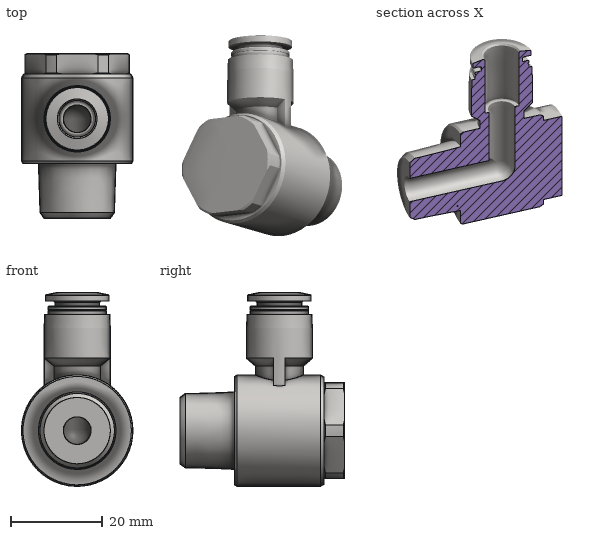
import cadquery as cq


barrel_diameter = 24.4
barrel_length = 19.6
barrel_radius = barrel_diameter / 2
front_y = -barrel_length / 2
back_y = barrel_length / 2
front_bevel_length = 0.55
front_bevel_depth = 0.35
back_bevel_length = 0.85
back_bevel_depth = 0.5

spigot_length = 11.95
spigot_root_diameter = 16.95
spigot_end_diameter = 16.3
spigot_tip_diameter = 14.5
spigot_bevel_length = 1.25

hex_length = 4.45
hex_across_flats = 21.0
hex_turn = 30
hex_corner_diameter = 22.9
hex_bevel_length = 0.25
hex_bevel_depth = 0.45

total_height = 42.4
port_top_z = total_height - barrel_radius
port_diameter = 14.5
port_shoulder_diameter = 14.25
neck_diameter = 10.55
neck_top_z = 14.15
cylinder_bottom_z = 15.85
cylinder_top_z = 22.35
shoulder_z = 25.45

insert_diameter = 12.8
insert_top_z = 27.25
insert_bevel = 0.2
groove_top_z = 26.5
groove_bottom_z = 26.37

collar_neck_diameter = 9.8
collar_diameter = 13.9
collar_bottom_z = 28.32
crown_height = 0.5
collar_rim_z = port_top_z - crown_height
collar_face_diameter = 8.7
collar_bevel = 0.25
rim_bevel = 0.13

rib_width = 2.55

bore_diameter = 6.0
tube_diameter = 8.0
tube_seat_z = cylinder_bottom_z
mouth_diameter = 8.65
mouth_depth = 0.35


def cylinder_z(diameter, bottom, top):
    return cq.Workplane("XY").workplane(offset=bottom).circle(diameter / 2).extrude(top - bottom)


def turned_about_y(profile):
    """Revolve (radius, y) points about the Y axis."""
    return cq.Workplane("XY").polyline(profile).close().revolve(360, (0, 0, 0), (0, 1, 0))


def make_barrel():
    tip_y = front_y - spigot_length
    return turned_about_y([
        (0, tip_y),
        (spigot_tip_diameter / 2, tip_y),
        (spigot_end_diameter / 2, tip_y + spigot_bevel_length),
        (spigot_root_diameter / 2, front_y),
        (barrel_radius - front_bevel_depth, front_y),
        (barrel_radius, front_y + front_bevel_length),
        (barrel_radius, back_y - back_bevel_length),
        (barrel_radius - back_bevel_depth, back_y),
        (0, back_y),
    ])


def make_hexagon():
    end_y = back_y + hex_length
    corner_radius = hex_corner_diameter / 2
    prism = (
        cq.Workplane("XZ", origin=(0, end_y, 0))
        .transformed(rotate=(0, 0, hex_turn))
        .polygon(6, hex_across_flats, circumscribed=True)
        .extrude(hex_length)
    )
    envelope = turned_about_y([
        (0, back_y),
        (corner_radius - hex_bevel_depth, back_y),
        (corner_radius, back_y + hex_bevel_length),
        (corner_radius, end_y - hex_bevel_length),
        (corner_radius - hex_bevel_depth, end_y),
        (0, end_y),
    ])
    return prism.intersect(envelope)


def make_port():
    insert_radius = insert_diameter / 2
    collar_radius = collar_diameter / 2
    collar_neck_radius = collar_neck_diameter / 2
    profile = [
        (0, 0),
        (neck_diameter / 2, 0),
        (neck_diameter / 2, neck_top_z),
        (port_diameter / 2, cylinder_bottom_z),
        (port_diameter / 2, cylinder_top_z),
        (port_shoulder_diameter / 2, shoulder_z),
        (insert_radius, shoulder_z),
        (insert_radius, groove_bottom_z - insert_bevel),
        (insert_radius - insert_bevel, groove_bottom_z),
        (insert_radius - insert_bevel, groove_top_z),
        (insert_radius, groove_top_z),
        (insert_radius, insert_top_z - insert_bevel),
        (insert_radius - insert_bevel, insert_top_z),
        (collar_neck_radius, insert_top_z),
        (collar_neck_radius, collar_bottom_z - collar_bevel),
        (collar_neck_radius + collar_bevel, collar_bottom_z),
        (collar_radius, collar_bottom_z),
        (collar_radius, collar_rim_z - rim_bevel),
        (collar_radius - rim_bevel, collar_rim_z),
        (collar_face_diameter / 2, port_top_z),
        (0, port_top_z),
    ]
    return cq.Workplane("XZ").polyline(profile).close().revolve(360, (0, 0, 0), (0, 1, 0))


def make_ribs():
    web = cq.Workplane("XY").rect(port_diameter, rib_width).extrude(cylinder_bottom_z)
    return web.intersect(cylinder_z(port_diameter, 0, cylinder_bottom_z))


def make_bores():
    """Front bore and port bore meeting in a ball-ended elbow, plus the tube socket."""
    bore_radius = bore_diameter / 2
    front_bore = cq.Workplane("XZ").circle(bore_radius).extrude(spigot_length - front_y)
    port_bore = cylinder_z(bore_diameter, 0, port_top_z)
    elbow = cq.Workplane("XY").sphere(bore_radius)
    socket = cylinder_z(tube_diameter, tube_seat_z, port_top_z)
    socket_mouth = cq.Workplane("XY").add(
        cq.Solid.makeCone(
            tube_diameter / 2,
            mouth_diameter / 2,
            mouth_depth,
            cq.Vector(0, 0, port_top_z - mouth_depth),
        )
    )
    return front_bore.union(elbow).union(port_bore).union(socket).union(socket_mouth)


body = make_barrel().union(make_hexagon()).union(make_port()).union(make_ribs())
result = body.cut(make_bores())